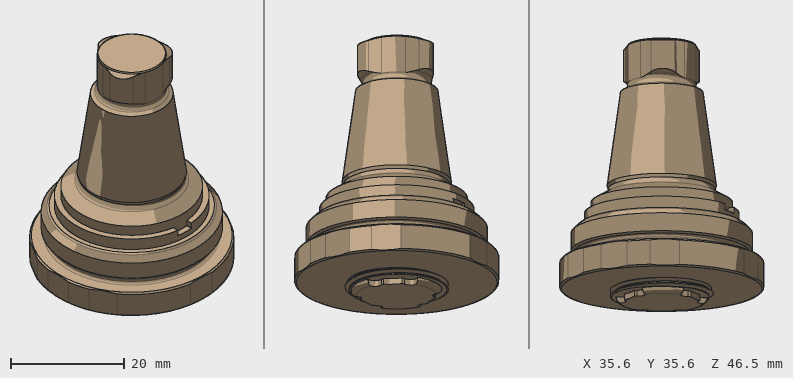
import cadquery as cq
import math

COLLAR_TOP = 1.05
FLANGE_BOTTOM = 2.5
FLANGE_TOP = 7.5
LEDGE_Z = 13.85
RING_TOP = 16.1
SHOULDER_TOP = 18.05
CONE_BOTTOM = 21.15
CONE_TOP = 38.0
NECK_WAIST_Z = 39.25
TOTAL_HEIGHT = 46.5

FLANGE_R = 36.0 / 2
GROOVE_R = 30.1 / 2
BAND_R = 32.0 / 2
RING_R = 27.3 / 2
SHOULDER_R = 25.0 / 2
CONE_BOTTOM_R = 9.65
CONE_TOP_R = 7.3
NECK_R = 6.04

FLANGE_FLAT_DISTANCE = 17.81
FLANGE_FLAT_ANGLES = (0, 60, 90, 120, 180, 240, 270, 300)
FLANGE_CHAMFER = 0.3

GROOVE_LOWER_FILLET = 0.45
GROOVE_FLOOR_TOP = 8.4
GROOVE_MOUTH_Z = 9.0
BAND_BOTTOM = 9.3
BAND_LOWER_CHAMFER = 0.45

BAND_CHAMFER = 1.05
BAND_BEVEL_WIDTH = 0.38
BAND_BEVEL_HEIGHT = 0.25

SLOPE_ANGLE = math.radians(30)
SLOPE_TOP_R = 10.05
UNDERCUT_R = 9.43
UNDERCUT_TOP = 20.55

NECK_FILLET_R = 1.0
CONE_SHOULDER_SLOPE = math.radians(30)
LOBE_UNDERSIDE_SLOPE = math.radians(37)

LOBE_COUNT = 3
FIRST_LOBE_ANGLE = 60
LOBE_TIP_R = 7.3
LOBE_R = 2.9
HEAD_CORE_R = 6.1
HEAD_BLEND_R = 17.0
LOBE_TOP_DROP = 0.4
HEAD_CHAMFER_WIDTH = 0.15
HEAD_CHAMFER_HEIGHT = 0.25

NOTCH_WIDTH = 3.25
NOTCH_HEIGHT = (RING_TOP - LEDGE_Z) / 2

THREAD_PITCH = 1.0
THREAD_CREST_R = 9.1
THREAD_ROOT_R = 8.35
THREAD_CREST_Z = 0.59
THREAD_BASE_WIDTH = 0.9 * THREAD_PITCH
THREAD_EMBED = 0.1

COLLAR_R = 8.05
COLLAR_EDGE_WIDTH = 0.85
TAB_COUNT = LOBE_COUNT
GAP_HALF_ANGLE = math.radians(33)
GAP_WALL_DISTANCE = 6.72
GAP_WALL_HALF_WIDTH = 1.67
GAP_WALL_HOLLOW = 0.2
GAP_LAND_WIDTH = 0.35
SCALLOP_R = 1.2
SCALLOP_DISTANCE = 6.85
SCALLOP_OFFSET = 3.15

OVERLAP = 0.2
CLEARANCE = 2.0

QUARTER_ARC_INSET = 1 - math.sqrt(0.5)


def polar(radius, angle):
    return (radius * math.cos(angle), radius * math.sin(angle))


def turn(point, angle):
    return polar(math.hypot(*point), math.atan2(point[1], point[0]) + angle)


def mirror(point):
    return (point[0], -point[1])


def turned(profile):
    """Revolve a closed (radius, height) sketch on XZ about the Z axis."""
    return profile.close().revolve(360, (0, 0, 0), (0, 1, 0))


def neck_arc_point(angle, side):
    """Point on the neck fillet above (1) or below (-1) its waist, angle measured from the waist."""
    radius = NECK_R + NECK_FILLET_R * (1 - math.cos(angle))
    return (radius, NECK_WAIST_Z + side * NECK_FILLET_R * math.sin(angle))


def cylinder(radius, bottom, top):
    return cq.Workplane("XY").workplane(offset=bottom).circle(radius).extrude(top - bottom)


def make_flange():
    disc = cylinder(FLANGE_R, FLANGE_BOTTOM, FLANGE_TOP).edges("%CIRCLE").chamfer(FLANGE_CHAMFER)
    height = FLANGE_TOP - FLANGE_BOTTOM
    for angle in FLANGE_FLAT_ANGLES:
        cutter = (
            cq.Workplane("XY")
            .box(CLEARANCE, 2 * FLANGE_R, height, centered=(False, True, False))
            .translate((FLANGE_FLAT_DISTANCE, 0, FLANGE_BOTTOM))
            .rotate((0, 0, 0), (0, 0, 1), angle)
        )
        disc = disc.cut(cutter)
    return disc


def make_body():
    """Groove, band, ring, shoulder, cone and neck as one turned profile."""
    slope_top = SHOULDER_TOP + (SHOULDER_R - SLOPE_TOP_R) * math.tan(SLOPE_ANGLE)
    band_corner_r = BAND_R - BAND_CHAMFER
    band_corner_z = LEDGE_Z - BAND_BEVEL_HEIGHT
    flare_angle = math.pi / 2 - CONE_SHOULDER_SLOPE
    fillet_mid = GROOVE_LOWER_FILLET * QUARTER_ARC_INSET
    profile = (
        cq.Workplane("XZ")
        .moveTo(0, FLANGE_TOP - OVERLAP)
        .lineTo(GROOVE_R + GROOVE_LOWER_FILLET, FLANGE_TOP - OVERLAP)
        .lineTo(GROOVE_R + GROOVE_LOWER_FILLET, FLANGE_TOP)
        .threePointArc(
            (GROOVE_R + fillet_mid, FLANGE_TOP + fillet_mid),
            (GROOVE_R, FLANGE_TOP + GROOVE_LOWER_FILLET),
        )
        .lineTo(GROOVE_R, GROOVE_FLOOR_TOP)
        .tangentArcPoint((BAND_R - BAND_LOWER_CHAMFER, GROOVE_MOUTH_Z), relative=False)
        .lineTo(BAND_R, BAND_BOTTOM)
        .lineTo(BAND_R, band_corner_z - BAND_CHAMFER)
        .lineTo(band_corner_r, band_corner_z)
        .lineTo(band_corner_r - BAND_BEVEL_WIDTH, LEDGE_Z)
        .lineTo(RING_R, LEDGE_Z)
        .lineTo(RING_R, RING_TOP)
        .lineTo(SHOULDER_R, RING_TOP)
        .lineTo(SHOULDER_R, SHOULDER_TOP)
        .lineTo(SLOPE_TOP_R, slope_top)
        .threePointArc(
            ((SLOPE_TOP_R + 2 * UNDERCUT_R) / 3, (2 * slope_top + UNDERCUT_TOP) / 3),
            (UNDERCUT_R, UNDERCUT_TOP),
        )
        .lineTo(CONE_BOTTOM_R, CONE_BOTTOM)
        .lineTo(CONE_TOP_R, CONE_TOP)
        .lineTo(*neck_arc_point(flare_angle, -1))
        .threePointArc(neck_arc_point(flare_angle / 2, -1), (NECK_R, NECK_WAIST_Z))
        .lineTo(0, NECK_WAIST_Z)
    )
    return turned(profile)


def blend_geometry():
    """Angles, from a lobe's axis, where the hollow blend meets the core circle and the lobe arc."""
    lobe_distance = LOBE_TIP_R - LOBE_R
    core_side = HEAD_CORE_R + HEAD_BLEND_R
    lobe_side = LOBE_R + HEAD_BLEND_R
    core_angle = math.acos(
        (core_side**2 + lobe_distance**2 - lobe_side**2) / (2 * core_side * lobe_distance)
    )
    centre = polar(core_side, core_angle)
    lobe_angle = math.atan2(centre[1], centre[0] - lobe_distance)
    return centre, core_angle, lobe_angle


def head_outline():
    """Closed outline of lobe arcs, hollow blends and core arcs, all tangent to each other."""
    centre, core_angle, lobe_angle = blend_geometry()
    lobe_distance = LOBE_TIP_R - LOBE_R
    lobe_point = polar(LOBE_R, lobe_angle)
    lobe_end = (lobe_distance + lobe_point[0], lobe_point[1])
    core_start = polar(HEAD_CORE_R, core_angle)
    middle_angle = math.pi + (core_angle + lobe_angle) / 2
    blend_point = polar(HEAD_BLEND_R, middle_angle)
    blend_middle = (centre[0] + blend_point[0], centre[1] + blend_point[1])
    step = 2 * math.pi / LOBE_COUNT
    first = math.radians(FIRST_LOBE_ANGLE)
    outline = cq.Workplane("XY").workplane(offset=NECK_WAIST_Z)
    outline = outline.moveTo(*turn(mirror(lobe_end), first))
    for index in range(LOBE_COUNT):
        here = first + index * step
        after = here + step
        outline = (
            outline.threePointArc(polar(LOBE_TIP_R, here), turn(lobe_end, here))
            .threePointArc(turn(blend_middle, here), turn(core_start, here))
            .threePointArc(polar(HEAD_CORE_R, here + step / 2), turn(mirror(core_start), after))
            .threePointArc(turn(mirror(blend_middle), after), turn(mirror(lobe_end), after))
        )
    return outline.close()


def make_head():
    prism = head_outline().extrude(TOTAL_HEIGHT - NECK_WAIST_Z)
    chamfer_bottom = TOTAL_HEIGHT - HEAD_CHAMFER_HEIGHT
    flare_angle = math.pi / 2 - LOBE_UNDERSIDE_SLOPE
    flare_r, flare_z = neck_arc_point(flare_angle, 1)
    tip_bottom = flare_z + (LOBE_TIP_R - flare_r) * math.tan(LOBE_UNDERSIDE_SLOPE)
    envelope = turned(
        cq.Workplane("XZ")
        .moveTo(0, NECK_WAIST_Z)
        .lineTo(NECK_R, NECK_WAIST_Z)
        .threePointArc(neck_arc_point(flare_angle / 2, 1), (flare_r, flare_z))
        .lineTo(LOBE_TIP_R, tip_bottom)
        .lineTo(LOBE_TIP_R, chamfer_bottom - LOBE_TOP_DROP)
        .lineTo(HEAD_CORE_R, chamfer_bottom)
        .lineTo(HEAD_CORE_R - HEAD_CHAMFER_WIDTH, TOTAL_HEIGHT)
        .lineTo(0, TOTAL_HEIGHT)
    )
    return prism.intersect(envelope)


def make_notch(side, bottom):
    """Notch through the ring, down to the shoulder diameter, on the +X (1) or -X (-1) side."""
    block = (
        cq.Workplane("XY")
        .box(RING_R + CLEARANCE, NOTCH_WIDTH, NOTCH_HEIGHT, centered=(False, True, False))
        .translate((0, 0, bottom))
    )
    if side < 0:
        block = block.rotate((0, 0, 0), (0, 0, 1), 180)
    return block.cut(cylinder(SHOULDER_R, bottom, bottom + NOTCH_HEIGHT))


def make_thread():
    """Right-hand V thread around its core, cut off flat at the collar and at the flange."""
    base_r = THREAD_ROOT_R - THREAD_EMBED
    start_z = THREAD_CREST_Z - THREAD_PITCH
    length = FLANGE_BOTTOM + THREAD_PITCH - start_z
    half_base = THREAD_BASE_WIDTH / 2
    path = cq.Workplane(cq.Wire.makeHelix(THREAD_PITCH, length, base_r)).translate((0, 0, start_z))
    ridge = (
        cq.Workplane("XZ")
        .polyline([
            (base_r, start_z - half_base),
            (THREAD_CREST_R, start_z),
            (base_r, start_z + half_base),
        ])
        .close()
        .sweep(path, isFrenet=True)
    )
    ridge = ridge.intersect(cylinder(FLANGE_R, COLLAR_TOP, FLANGE_BOTTOM + OVERLAP))
    core = cylinder(THREAD_ROOT_R, COLLAR_TOP, FLANGE_BOTTOM + OVERLAP)
    return core.union(ridge)


def make_gap():
    """Cutter for the opening between two tabs, centred on +X: a hollow wall between two scallops."""
    reach = COLLAR_R + CLEARANCE
    side = math.tan(GAP_HALF_ANGLE)
    land_distance = GAP_WALL_DISTANCE - GAP_LAND_WIDTH
    land_half_width = GAP_WALL_HALF_WIDTH + GAP_LAND_WIDTH
    wall = (
        cq.Workplane("XY")
        .moveTo(GAP_WALL_DISTANCE, -GAP_WALL_HALF_WIDTH)
        .lineTo(land_distance, -land_half_width)
        .lineTo(land_distance, -land_distance * side)
        .lineTo(reach, -reach * side)
        .lineTo(reach, reach * side)
        .lineTo(land_distance, land_distance * side)
        .lineTo(land_distance, land_half_width)
        .lineTo(GAP_WALL_DISTANCE, GAP_WALL_HALF_WIDTH)
        .threePointArc(
            (GAP_WALL_DISTANCE - GAP_WALL_HOLLOW, 0),
            (GAP_WALL_DISTANCE, -GAP_WALL_HALF_WIDTH),
        )
        .close()
        .extrude(COLLAR_TOP)
    )
    scallops = (
        cq.Workplane("XY")
        .pushPoints([(SCALLOP_DISTANCE, -SCALLOP_OFFSET), (SCALLOP_DISTANCE, SCALLOP_OFFSET)])
        .circle(SCALLOP_R)
        .extrude(COLLAR_TOP)
    )
    return wall.union(scallops)


def make_collar():
    edge_r = COLLAR_R - COLLAR_EDGE_WIDTH
    collar = turned(
        cq.Workplane("XZ")
        .lineTo(edge_r, 0)
        .threePointArc(
            (COLLAR_R - COLLAR_EDGE_WIDTH * QUARTER_ARC_INSET, COLLAR_TOP * QUARTER_ARC_INSET),
            (COLLAR_R, COLLAR_TOP),
        )
        .lineTo(COLLAR_R, COLLAR_TOP + OVERLAP)
        .lineTo(0, COLLAR_TOP + OVERLAP)
    )
    for index in range(TAB_COUNT):
        collar = collar.cut(make_gap().rotate((0, 0, 0), (0, 0, 1), index * 360 / TAB_COUNT))
    return collar


body = make_body().union(make_head())
body = body.cut(make_notch(-1, LEDGE_Z)).cut(make_notch(1, RING_TOP - NOTCH_HEIGHT))
result = body.union(make_flange()).union(make_thread()).union(make_collar())